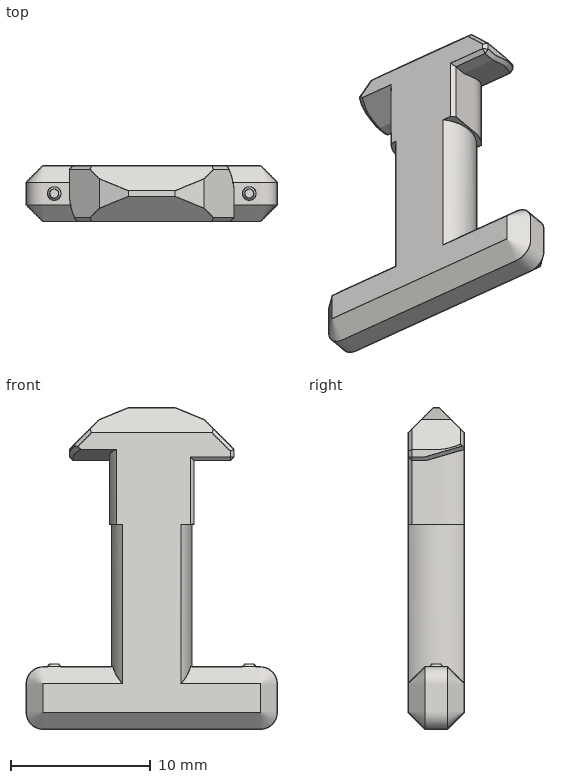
import cadquery as cq
import math

total_height = 23.05
half_thickness = 2.0

bar_length = 18.0
bar_height = 4.5
bar_corner_radius = 1.25
bar_chamfer = 1.2

peg_offset = 6.98
peg_height = 0.2
peg_base_radius = 0.48
peg_taper = 0.15

shaft_radius = 2.9
shoulder_z = 14.68
neck_half_width = 3.05
neck_curve_start = 0.55
neck_curve_inset = 0.5

edge_chamfer = 0.28
ridge_half_length = 1.68
ridge_half_width = 0.2
head_half_length = 5.9
shoulder_half_length = 3.75
shoulder_drop = 0.85
head_bottom_z = 19.25
ramp_start_y = 0.75
ramp_top_z = 20.05
head_curve_inset = 0.5

roof_edge_z = total_height - (half_thickness - ridge_half_width)
head_shoulder_z = total_height - shoulder_drop
tip_z = head_shoulder_z - (head_half_length - shoulder_half_length)


def half_turn(shape):
    return shape.rotate((0, 0, 0), (0, 0, 1), 180)


def arc_middle(end_x, inset, start_y):
    """Middle of an arc that leaves the line x = end_x tangentially at start_y and ends on the front face."""
    drop = half_thickness + start_y
    radius = (drop**2 + inset**2) / (2 * inset)
    half_angle = math.asin(drop / radius) / 2
    return (
        end_x + radius * (1 - math.cos(half_angle)),
        start_y - radius * math.sin(half_angle),
    )


def left_plan(half_length, inset, curve_start_y):
    """Left half outline, with its front corner rounded off by an arc."""
    return (
        cq.Workplane("XY")
        .moveTo(0, half_thickness)
        .lineTo(-half_length, half_thickness)
        .lineTo(-half_length, curve_start_y)
        .threePointArc(
            arc_middle(-half_length, inset, curve_start_y),
            (-half_length + inset, -half_thickness),
        )
        .lineTo(0, -half_thickness)
        .close()
    )


def make_bar():
    return (
        cq.Workplane("XY")
        .box(bar_length, 2 * half_thickness, bar_height, centered=(True, True, False))
        .edges("|Y")
        .fillet(bar_corner_radius)
        .faces("<Y or >Y")
        .chamfer(bar_chamfer)
    )


def make_pegs():
    return (
        cq.Workplane("XY", origin=(0, 0, bar_height))
        .pushPoints([(-peg_offset, 0), (peg_offset, 0)])
        .circle(peg_base_radius)
        .extrude(peg_height, taper=math.degrees(math.atan(peg_taper / peg_height)))
    )


def make_shaft():
    bottom_z = bar_height / 2
    height = shoulder_z - bottom_z
    flats = cq.Workplane("XY").box(
        2 * shaft_radius, 2 * half_thickness, height, centered=(True, True, False)
    )
    shaft = cq.Workplane("XY").circle(shaft_radius).extrude(height).intersect(flats)
    return shaft.translate((0, 0, bottom_z))


def make_left_neck():
    height = roof_edge_z - shoulder_z
    return (
        left_plan(neck_half_width, neck_curve_inset, -neck_curve_start)
        .extrude(height)
        .edges("|Z and <X and >Y")
        .chamfer(edge_chamfer)
        .translate((0, 0, shoulder_z))
    )


def make_left_head():
    plan = left_plan(head_half_length, head_curve_inset, 0).extrude(total_height)
    long_outline = (
        cq.Workplane("XZ")
        .polyline([
            (0, 0),
            (0, total_height),
            (-ridge_half_length, total_height),
            (-shoulder_half_length, head_shoulder_z),
            (-head_half_length, tip_z),
            (-head_half_length, 0),
        ])
        .close()
        .extrude(half_thickness, both=True)
    )
    near = cq.selectors.NearestToPointSelector
    slope_x = -(shoulder_half_length + head_half_length) / 2
    slope_z = (head_shoulder_z + tip_z) / 2
    front_slope_point = (slope_x, -half_thickness, slope_z)
    front_bevelled = long_outline.edges(near(front_slope_point)).chamfer(edge_chamfer)
    cross_section = (
        cq.Workplane("YZ")
        .polyline([
            (half_thickness, head_bottom_z),
            (ramp_start_y, head_bottom_z),
            (-half_thickness, ramp_top_z),
            (-half_thickness, roof_edge_z),
            (-ridge_half_width, total_height),
            (ridge_half_width, total_height),
            (half_thickness, roof_edge_z),
        ])
        .close()
        .extrude(-head_half_length)
    )
    head = plan.intersect(long_outline).intersect(cross_section)

    end_ramp_x = -head_half_length + head_curve_inset / 4
    middle_ramp_z = (head_bottom_z + ramp_top_z) / 2
    back_slope_z = (tip_z + roof_edge_z) / 2
    back_slope_x = -head_half_length + back_slope_z - tip_z
    bevelled_edges = []
    for point in [
        (back_slope_x, half_thickness, back_slope_z),
        (-head_half_length, half_thickness, (head_bottom_z + tip_z) / 2),
        (-head_half_length / 2, half_thickness, head_bottom_z),
        (-head_half_length, half_thickness / 2, head_bottom_z),
        (-head_half_length, ramp_start_y / 2, head_bottom_z),
        (end_ramp_x, -half_thickness / 2, middle_ramp_z),
    ]:
        bevelled_edges += head.edges(near(point)).vals()
    return head.newObject(bevelled_edges).chamfer(edge_chamfer).intersect(front_bevelled)


result = make_bar().union(make_pegs()).union(make_shaft())
for make_half in (make_left_neck, make_left_head):
    left_half = make_half()
    result = result.union(left_half).union(half_turn(left_half))
result = result.clean()